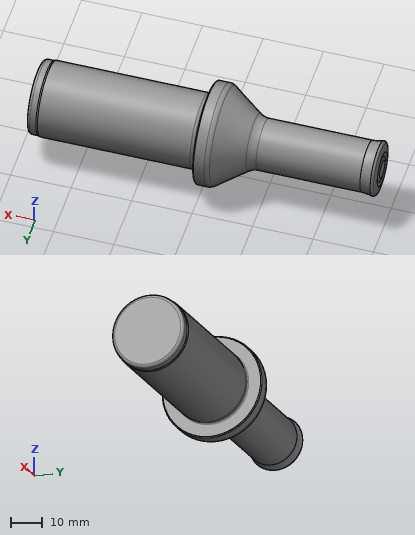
import cadquery as cq
import math

TOTAL_LENGTH = 114.0

CREST_RADIUS_INNER = 3.0
CREST_RADIUS_OUTER = 5.7
FACE_ANGLE = math.radians(10)
CORNER_RADIUS = 0.9
TIP_RADIUS = 18.1 / 2
TIP_LENGTH = 4.9

NECK_RADIUS = 17.0 / 2
NECK_END = 39.2
CONE_ANGLE = math.radians(35)
NECK_BLEND_RADIUS = 5.4
COLLAR_BLEND_RADIUS = 3.0
COLLAR_RADIUS = 34.0 / 2
COLLAR_BACK = 57.8
COLLAR_CHAMFER = 0.3

SHANK_RADIUS = 25.0 / 2
RELIEF_RADIUS = 24.5 / 2
RELIEF_FILLET = 0.3
RELIEF_END = 58.9
SHANK_START = 59.8
SHANK_END = 110.4
LAND_START = 110.9
END_FILLET = 1.0


def revolve_about_x(profile):
    """Turn a closed (axial, radial) profile into a solid of revolution."""
    return profile.close().revolve(360, (0, 0, 0), (1, 0, 0))


def make_tip():
    """Flared tip with a shallow W-shaped face and a rounded cutting corner."""
    slope = math.tan(FACE_ANGLE)
    valley_radius = (CREST_RADIUS_INNER + CREST_RADIUS_OUTER) / 2
    valley_depth = (valley_radius - CREST_RADIUS_INNER) * slope
    center_depth = CREST_RADIUS_INNER * slope

    corner_center_r = TIP_RADIUS - CORNER_RADIUS
    corner_start_r = corner_center_r + CORNER_RADIUS * math.sin(FACE_ANGLE)
    corner_start_x = (corner_start_r - CREST_RADIUS_OUTER) * slope
    corner_center_x = corner_start_x + CORNER_RADIUS * math.cos(FACE_ANGLE)
    mid_angle = (math.pi / 2 + FACE_ANGLE) / 2
    corner_mid = (
        corner_center_x - CORNER_RADIUS * math.cos(mid_angle),
        corner_center_r + CORNER_RADIUS * math.sin(mid_angle),
    )

    flare_length = TIP_LENGTH - corner_center_x
    flare_drop = TIP_RADIUS - NECK_RADIUS
    flare_radius = (flare_length**2 + flare_drop**2) / (2 * flare_drop)

    return revolve_about_x(
        cq.Workplane("XY")
        .moveTo(center_depth, 0)
        .lineTo(0, CREST_RADIUS_INNER)
        .lineTo(valley_depth, valley_radius)
        .lineTo(0, CREST_RADIUS_OUTER)
        .lineTo(corner_start_x, corner_start_r)
        .threePointArc(corner_mid, (corner_center_x, TIP_RADIUS))
        .radiusArc((TIP_LENGTH, NECK_RADIUS), -flare_radius)
        .lineTo(TIP_LENGTH, 0)
    )


def make_holder():
    """Neck, conical collar and relieved cylindrical shank."""
    blend_length = math.sin(CONE_ANGLE)
    blend_rise = 1 - math.cos(CONE_ANGLE)

    cone_start_x = NECK_END + NECK_BLEND_RADIUS * blend_length
    cone_start_r = NECK_RADIUS + NECK_BLEND_RADIUS * blend_rise
    cone_end_r = COLLAR_RADIUS - COLLAR_BLEND_RADIUS * blend_rise
    cone_end_x = cone_start_x + (cone_end_r - cone_start_r) / math.tan(CONE_ANGLE)
    collar_start_x = cone_end_x + COLLAR_BLEND_RADIUS * blend_length

    return revolve_about_x(
        cq.Workplane("XY")
        .moveTo(TIP_LENGTH, 0)
        .lineTo(TIP_LENGTH, NECK_RADIUS)
        .lineTo(NECK_END, NECK_RADIUS)
        .radiusArc((cone_start_x, cone_start_r), -NECK_BLEND_RADIUS)
        .lineTo(cone_end_x, cone_end_r)
        .radiusArc((collar_start_x, COLLAR_RADIUS), COLLAR_BLEND_RADIUS)
        .lineTo(COLLAR_BACK - COLLAR_CHAMFER, COLLAR_RADIUS)
        .lineTo(COLLAR_BACK, COLLAR_RADIUS - COLLAR_CHAMFER)
        .lineTo(COLLAR_BACK, RELIEF_RADIUS + RELIEF_FILLET)
        .radiusArc((COLLAR_BACK + RELIEF_FILLET, RELIEF_RADIUS), -RELIEF_FILLET)
        .lineTo(RELIEF_END, RELIEF_RADIUS)
        .lineTo(SHANK_START, SHANK_RADIUS)
        .lineTo(SHANK_END, SHANK_RADIUS)
        .lineTo(LAND_START, RELIEF_RADIUS)
        .lineTo(TOTAL_LENGTH - END_FILLET, RELIEF_RADIUS)
        .radiusArc((TOTAL_LENGTH, RELIEF_RADIUS - END_FILLET), END_FILLET)
        .lineTo(TOTAL_LENGTH, 0)
    )


tip = make_tip()
holder = make_holder()

result = cq.Compound.makeCompound([tip.val(), holder.val()])